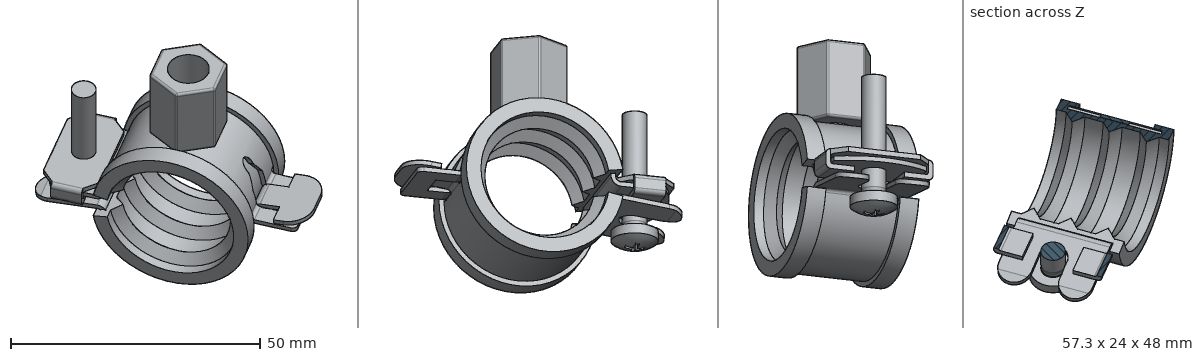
import cadquery as cq
import math


EXTRA = 57.3

SHEET = 1.0
STRAP_OUTER_R = 15.4
STRAP_INNER_R = STRAP_OUTER_R - SHEET
STRAP_HALF_WIDTH = 9.95
BEND_INNER_R = 0.85
UPPER_EAR_BEND_INNER_R = 1.15
LOWER_TILT = 6.0

LINER_LENGTH = 24.0
LINER_FLANGE_R = 16.45
LINER_FLANGE_WIDTH = 4.0
LINER_BORE_R = 13.4
RIDGE_CREST_R = 11.4
RIDGE_HEIGHT = LINER_BORE_R - RIDGE_CREST_R
RIDGE_PITCH = 7.9
RIDGE_COUNT = 3
LINER_GAP_HALF_ANGLE = 10.0

TONGUE_HALF_WIDTH = 3.05
TAB_HALF_WIDTH = 7.05
TAB_END_X = 25.0
TAB_CORNER_R = 1.1
HEAD_SHOULDER_X = 20.3
HEAD_END_X = 27.3
HEAD_CORNER_R = 5.0
KEYHOLE_R = 1.5
KEYHOLE_TOP_Z = 10.2
KEYHOLE_NECK_Z = 7.8
KEYHOLE_FLARE_Z = 4.9

SCREW_X = -22.05
EAR_TIP_X = -28.5
EAR_CORNER_X = -25.7
FINGER_R = 3.5
FINGER_Y = STRAP_HALF_WIDTH - FINGER_R
FINGER_CENTER_X = -26.7
FINGER_KINK_X = -28.2
FINGER_TIP_ANGLE = 9.0

SHANK_D = 5.0
NECK_D = 4.7
SCREW_HEAD_D = 9.5
SCREW_TOP_Z = 19.55
THREAD_END_Z = -4.0
NECK_TOP_Z = -4.7
HEAD_TOP_Z = -5.5
HEAD_RIM_Z = -7.55
HEAD_DOME_Z = -9.15
NECK_FLARE = 0.1
CROSS_WIDTH = 0.85
CROSS_LENGTH = 4.0

CLIP_SHEET = 1.05
CLIP_TOP_Z = 2.6
CLIP_BOTTOM_Z = -1.55
CLIP_HALF_WIDTH = 11.5
CLIP_LIP_Y = 5.4
CLIP_LENGTH = 11.9
CLIP_LEG_LENGTH = 6.5
CLIP_CORNER_Y = 7.8
CLIP_OUTER_R = 1.0
CLIP_INNER_R = 0.5

NUT_ACROSS_FLATS = 13.8
NUT_TOP_Z = 31.55
NUT_BOTTOM_Z = STRAP_OUTER_R
NUT_LARGE_BORE_D = 8.35
NUT_SMALL_BORE_D = 6.65
NUT_EDGE_R = 0.5


def box(x0, x1, half_width, z0, z1):
    """A block between two X and two Z positions, centred on Y."""
    return cq.Workplane("XY").box(x1 - x0, 2 * half_width, z1 - z0).translate(
        ((x0 + x1) / 2, 0, (z0 + z1) / 2)
    )


def tube(outer_r, inner_r, half_width):
    """A ring about the Y axis, with its seam on the gap side (-X)."""
    ring = cq.Workplane("XZ").circle(outer_r).circle(inner_r).extrude(half_width, both=True)
    return ring.rotate((0, 0, 0), (0, 1, 0), 180)


def round_bend(strap, x, z, radius):
    """Round the edge along Y that lies nearest to (x, z)."""
    return strap.edges("|Y").edges(cq.selectors.NearestToPointSelector((x, 0, z))).fillet(radius)


def bent_half(side, ear_points, ear_bend_r, hinge_end_x):
    """Half a strap ring (side +1 above, -1 below) with bent-out plates at both ends.

    The plates lie against the plane Z = 0. ear_points outline the ear beyond the ring, from its
    ring-side face round its tip, and ear_bend_r is its inner bend radius.
    The hinge plate is straight and ends at hinge_end_x.
    """
    plate_z = side * SHEET
    bend_x = math.sqrt(STRAP_OUTER_R**2 - SHEET**2)
    strap = (
        cq.Workplane("XZ")
        .moveTo(hinge_end_x, 0)
        .lineTo(hinge_end_x, plate_z)
        .lineTo(bend_x, plate_z)
        .threePointArc((0, side * STRAP_OUTER_R), (-bend_x, plate_z))
    )
    for x, z in ear_points:
        strap = strap.lineTo(x, z)
    strap = (
        strap.lineTo(-STRAP_INNER_R, 0)
        .threePointArc((0, side * STRAP_INNER_R), (STRAP_INNER_R, 0))
        .close()
        .extrude(STRAP_HALF_WIDTH, both=True)
    )
    for end, bend_r in ((-1, ear_bend_r), (1, BEND_INNER_R)):
        strap = round_bend(strap, end * bend_x, plate_z, bend_r)
        strap = round_bend(strap, end * STRAP_INNER_R, 0, bend_r + SHEET)
    return strap


def make_upper_strap():
    ear_points = [(EAR_TIP_X, SHEET), (EAR_TIP_X, 0)]
    strap = bent_half(1, ear_points, UPPER_EAR_BEND_INNER_R, TAB_END_X)

    ear_end = (
        cq.Workplane("XY")
        .moveTo(0, STRAP_HALF_WIDTH)
        .lineTo(EAR_CORNER_X, STRAP_HALF_WIDTH)
        .threePointArc((EAR_TIP_X, 0), (EAR_CORNER_X, -STRAP_HALF_WIDTH))
        .lineTo(0, -STRAP_HALF_WIDTH)
        .close()
        .extrude(EXTRA, both=True)
    )
    tab = (
        box(0, TAB_END_X, TAB_HALF_WIDTH, -EXTRA, EXTRA)
        .edges("|Z and >X")
        .fillet(TAB_CORNER_R)
    )
    ring_part = box(0, EXTRA, STRAP_HALF_WIDTH, SHEET + BEND_INNER_R, EXTRA)
    strap = strap.intersect(ear_end.union(tab).union(ring_part))
    screw_hole = cq.Workplane("XY").center(SCREW_X, 0).circle(SHANK_D / 2)
    strap = strap.cut(screw_hole.extrude(EXTRA, both=True).intersect(box(-EXTRA, 0, EXTRA, 0, SHEET)))

    arc_z = KEYHOLE_TOP_Z - KEYHOLE_R
    keyhole = (
        cq.Workplane("YZ")
        .moveTo(-TONGUE_HALF_WIDTH, 0)
        .lineTo(-TONGUE_HALF_WIDTH, KEYHOLE_FLARE_Z)
        .lineTo(-KEYHOLE_R, KEYHOLE_NECK_Z)
        .lineTo(-KEYHOLE_R, arc_z)
        .threePointArc((0, KEYHOLE_TOP_Z), (KEYHOLE_R, arc_z))
        .lineTo(KEYHOLE_R, KEYHOLE_NECK_Z)
        .lineTo(TONGUE_HALF_WIDTH, KEYHOLE_FLARE_Z)
        .lineTo(TONGUE_HALF_WIDTH, 0)
        .close()
        .extrude(HEAD_SHOULDER_X)
    )
    return strap.cut(keyhole)


def make_lower_strap():
    tip_x = FINGER_CENTER_X - FINGER_R
    tip_z = (tip_x - FINGER_KINK_X) * math.tan(math.radians(FINGER_TIP_ANGLE))
    ear_points = [
        (FINGER_KINK_X, -SHEET),
        (tip_x, tip_z - SHEET),
        (tip_x, tip_z),
        (FINGER_KINK_X, 0),
    ]
    strap = bent_half(-1, ear_points, BEND_INNER_R, HEAD_END_X)

    ear = box(FINGER_CENTER_X, 0, STRAP_HALF_WIDTH, -EXTRA, EXTRA)
    for y in (-FINGER_Y, FINGER_Y):
        ear = ear.union(
            cq.Workplane("XY").center(FINGER_CENTER_X, y).circle(FINGER_R).extrude(EXTRA, both=True)
        )
    slot_half_width = FINGER_Y - FINGER_R
    slot = box(-EXTRA, SCREW_X, slot_half_width, -EXTRA, EXTRA).union(
        cq.Workplane("XY").center(SCREW_X, 0).circle(slot_half_width).extrude(EXTRA, both=True)
    )
    ear = ear.cut(slot)

    tongue = box(0, HEAD_SHOULDER_X, TONGUE_HALF_WIDTH, -EXTRA, 0)
    head = (
        box(HEAD_SHOULDER_X, HEAD_END_X, TAB_HALF_WIDTH, -EXTRA, 0)
        .edges("|Z and >X")
        .fillet(HEAD_CORNER_R)
    )
    ring_part = box(-STRAP_OUTER_R, STRAP_OUTER_R, STRAP_HALF_WIDTH, -EXTRA, -SHEET - BEND_INNER_R)
    ring_part = ring_part.cut(slot)
    strap = strap.intersect(ear.union(tongue).union(head).union(ring_part))
    return strap.rotate((0, 0, 0), (0, 1, 0), -LOWER_TILT)


def make_liner(straps):
    half_length = LINER_LENGTH / 2
    liner = tube(LINER_FLANGE_R, RIDGE_CREST_R, half_length)

    bore = cq.Workplane("XZ").circle(LINER_BORE_R).extrude(half_length, both=True)
    for i in range(RIDGE_COUNT):
        y = (i - (RIDGE_COUNT - 1) / 2) * RIDGE_PITCH
        ridge = (
            cq.Workplane("XY")
            .polyline(
                [
                    (LINER_BORE_R, y - RIDGE_HEIGHT),
                    (RIDGE_CREST_R, y),
                    (LINER_BORE_R, y + RIDGE_HEIGHT),
                ]
            )
            .close()
            .revolve(360, (0, 0, 0), (0, 1, 0))
        )
        bore = bore.cut(ridge)
    liner = liner.cut(bore)

    liner = liner.cut(tube(EXTRA, STRAP_INNER_R, half_length - LINER_FLANGE_WIDTH))
    liner = liner.cut(tube(STRAP_OUTER_R, STRAP_INNER_R, STRAP_HALF_WIDTH))

    gap_z = EXTRA * math.tan(math.radians(LINER_GAP_HALF_ANGLE))
    gap = cq.Workplane("XZ").polyline([(0, 0), (-EXTRA, gap_z), (-EXTRA, -gap_z)]).close()
    liner = liner.cut(gap.extrude(half_length, both=True))
    for strap in straps:
        liner = liner.cut(strap)
    return liner


def make_screw():
    shank_r = SHANK_D / 2
    neck_r = NECK_D / 2
    head_r = SCREW_HEAD_D / 2
    sag = HEAD_RIM_Z - HEAD_DOME_Z
    dome_r = (head_r**2 + sag**2) / (2 * sag)
    mid_r = head_r / 2
    mid_z = HEAD_DOME_Z + dome_r - math.sqrt(dome_r**2 - mid_r**2)
    screw = (
        cq.Workplane("XZ")
        .moveTo(0, SCREW_TOP_Z)
        .lineTo(shank_r, SCREW_TOP_Z)
        .lineTo(shank_r, THREAD_END_Z)
        .lineTo(neck_r, NECK_TOP_Z)
        .lineTo(neck_r, HEAD_TOP_Z)
        .lineTo(head_r, HEAD_TOP_Z)
        .lineTo(head_r, HEAD_RIM_Z)
        .threePointArc((mid_r, mid_z), (0, HEAD_DOME_Z))
        .close()
        .revolve(360, (0, 0, 0), (0, 1, 0))
    )
    neck_foot = cq.selectors.NearestToPointSelector((0, 0, HEAD_TOP_Z))
    screw = screw.edges(cq.selectors.RadiusNthSelector(0)).edges(neck_foot).chamfer(NECK_FLARE)

    for length, width in ((CROSS_LENGTH, CROSS_WIDTH), (CROSS_WIDTH, CROSS_LENGTH)):
        screw = screw.cut(box(-length / 2, length / 2, width / 2, HEAD_DOME_Z, HEAD_RIM_Z))
    return screw.translate((SCREW_X, 0, 0))


def make_clip():
    x0 = -CLIP_LENGTH / 2
    x1 = CLIP_LENGTH / 2
    inner_y = CLIP_HALF_WIDTH - CLIP_SHEET
    plate_z = CLIP_TOP_Z - CLIP_SHEET
    outside = box(x0, x1, CLIP_HALF_WIDTH, CLIP_BOTTOM_Z, CLIP_TOP_Z).edges("|X").fillet(CLIP_OUTER_R)
    inside = box(x0, x1, inner_y, CLIP_BOTTOM_Z + CLIP_SHEET, plate_z).edges("|X").fillet(CLIP_INNER_R)
    clip = outside.cut(inside).cut(box(x0, x1, CLIP_LIP_Y, CLIP_BOTTOM_Z, 0))

    leg_x = CLIP_LEG_LENGTH / 2
    corner_y = CLIP_CORNER_Y + x1 - leg_x
    plate_plan = (
        cq.Workplane("XY")
        .polyline(
            [
                (x0, -CLIP_CORNER_Y),
                (-leg_x, -corner_y),
                (leg_x, -corner_y),
                (x1, -CLIP_CORNER_Y),
                (x1, CLIP_CORNER_Y),
                (leg_x, corner_y),
                (-leg_x, corner_y),
                (x0, CLIP_CORNER_Y),
            ]
        )
        .close()
        .extrude(CLIP_TOP_Z)
    )
    legs = box(-leg_x, leg_x, CLIP_HALF_WIDTH, CLIP_BOTTOM_Z, CLIP_TOP_Z)
    clip = clip.intersect(plate_plan.union(legs))
    screw_hole = cq.Workplane("XY").circle(SHANK_D / 2).extrude(CLIP_TOP_Z)
    return clip.cut(screw_hole).translate((SCREW_X, 0, 0))


def make_nut():
    height = NUT_TOP_Z - NUT_BOTTOM_Z
    across_corners = NUT_ACROSS_FLATS / math.cos(math.radians(30))
    nut = (
        cq.Workplane("XY")
        .polygon(6, across_corners)
        .extrude(height)
        .rotate((0, 0, 0), (0, 0, 1), 90)
        .edges()
        .fillet(NUT_EDGE_R)
    )
    small_bore = cq.Workplane("XY").circle(NUT_SMALL_BORE_D / 2).extrude(height)
    large_bore = cq.Workplane("XY").workplane(offset=height / 2).circle(NUT_LARGE_BORE_D / 2)
    nut = nut.cut(small_bore).cut(large_bore.extrude(height / 2))
    return nut.translate((0, 0, NUT_BOTTOM_Z))


upper_strap = make_upper_strap()
lower_strap = make_lower_strap()
liner = make_liner([upper_strap, lower_strap])
screw = make_screw()
clip = make_clip()
nut = make_nut()

result = cq.Compound.makeCompound(
    [upper_strap.val(), lower_strap.val(), liner.val(), screw.val(), clip.val(), nut.val()]
)